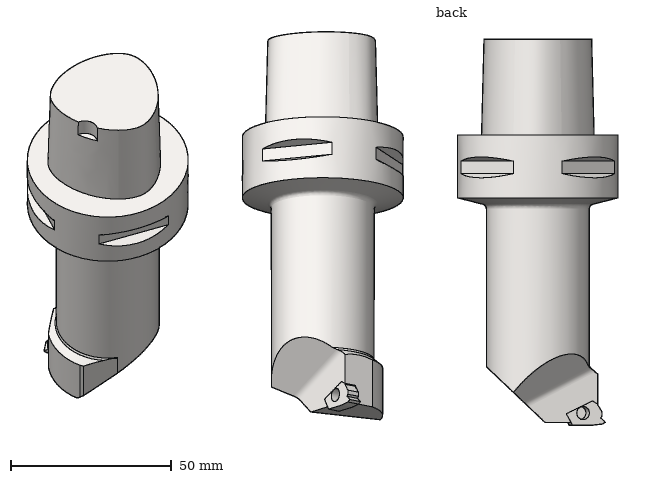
import cadquery as cq
import math

TOTAL_HEIGHT = 120.0
FLANGE_TOP = 90.2
FLANGE_BOTTOM = 70.7
FLANGE_CONE_BOTTOM = 68.4
HEAD_TOP = 18.6
RELIEF_TOP = 18.2
HEAD_BOTTOM = 0.8

FLANGE_RADIUS = 50.0 / 2
SHANK_RADIUS = 32.0 / 2
HEAD_RADIUS = 18.66
NECK_FILLET = 1.5
SHOULDER_HEIGHT = 2.6
SHOULDER_ROOT_HEIGHT = 0.7
SHOULDER_ROOT_WIDTH = 0.4

LOBE_MEAN_RADIUS = 17.5
LOBE_ECCENTRICITY = 1.14
TAPER_PER_SIDE = 1 / 40
LOBE_HALF_ANGLE = 36.0
KEY_RADIUS = 4.0
KEY_CENTER_Y = -17.8
KEY_DEPTH = 5.5

NOTCH_COUNT = 4
NOTCH_HEIGHT = 80.2
NOTCH_FLAT_RADIUS = 22.2
NOTCH_FLAT_HALF = 1.9
NOTCH_MOUTH_HALF = 3.2

HEAD_ANGLE = 15.0
FLANK_OFFSET = 17.9
RAKE_OFFSET = 5.5
RELIEF_END_X = -2.3
GULLET_AXIS_HEIGHT = 3.6
GULLET_SLOPE = 1.16
GULLET_AZIMUTH = 130.7
GULLET_FILLET = 3.0

INSERT_THICKNESS = 4.2
INSERT_HOLE_DIAMETER = 4.1
INSERT_HOLE_CENTER = (4.8, 3.8)
INSERT_OUTLINE = [
    (-2.4, 1.0),
    (-1.0, 2.3),
    (-1.3, 2.9),
    (-1.3, 4.2),
    (0.2, 6.7),
    (1.8, 7.5),
    (10.2, 3.6),
    (8.2, 0.0),
    (1.8, 0.0),
    (-1.5, 0.4),
]

CLEARANCE = 24.0


def turned_body():
    """Flange with its lower cone, blended into the plain shank."""
    profile = [
        (0, HEAD_BOTTOM),
        (SHANK_RADIUS, HEAD_BOTTOM),
        (SHANK_RADIUS, FLANGE_CONE_BOTTOM),
        (FLANGE_RADIUS, FLANGE_BOTTOM),
        (FLANGE_RADIUS, FLANGE_TOP),
        (0, FLANGE_TOP),
    ]
    body = cq.Workplane("XZ").polyline(profile).close().revolve(360, (0, 0), (0, 1))
    neck = cq.selectors.NearestToPointSelector((SHANK_RADIUS, 0, FLANGE_CONE_BOTTOM))
    return body.edges("%CIRCLE").edges(neck).fillet(NECK_FILLET)


def lobe_wire(mean_radius, height):
    """Three-lobed outline in six smooth stretches, with one lobe toward +Y."""
    def point(degrees):
        t = math.radians(degrees)
        e = LOBE_ECCENTRICITY
        along = mean_radius * math.cos(t) + 2 * e * math.cos(2 * t) - e * math.cos(4 * t)
        across = mean_radius * math.sin(t) - 2 * e * math.sin(2 * t) - e * math.sin(4 * t)
        return cq.Vector(-across, along, height)

    steps = 8
    edges = []
    for lobe_angle in (0, 120, 240):
        start = lobe_angle - LOBE_HALF_ANGLE
        middle = lobe_angle + LOBE_HALF_ANGLE
        end = start + 120
        for first, last in ((start, middle), (middle, end)):
            points = [point(first + (last - first) * i / steps) for i in range(steps + 1)]
            edges.append(cq.Edge.makeSpline(points))
    return cq.Wire.assembleEdges(edges)


def coupling():
    """Tapered polygon with a round keyway at its upper front edge."""
    top_radius = LOBE_MEAN_RADIUS - TAPER_PER_SIDE * (TOTAL_HEIGHT - FLANGE_TOP)
    base = lobe_wire(LOBE_MEAN_RADIUS, FLANGE_TOP)
    top = lobe_wire(top_radius, TOTAL_HEIGHT)
    taper = cq.Workplane(cq.Solid.makeLoft([base, top], True))
    keyway = (
        cq.Workplane("XY", origin=(0, KEY_CENTER_Y, TOTAL_HEIGHT - KEY_DEPTH))
        .circle(KEY_RADIUS)
        .extrude(KEY_DEPTH)
    )
    return taper.cut(keyway)


def gripper_notch(angle):
    """Straight notch with a flat floor and flared sides."""
    profile = [
        (NOTCH_FLAT_RADIUS, NOTCH_HEIGHT - NOTCH_FLAT_HALF),
        (NOTCH_FLAT_RADIUS, NOTCH_HEIGHT + NOTCH_FLAT_HALF),
        (FLANGE_RADIUS, NOTCH_HEIGHT + NOTCH_MOUTH_HALF),
        (FLANGE_RADIUS, NOTCH_HEIGHT - NOTCH_MOUTH_HALF),
    ]
    notch = cq.Workplane("XZ").polyline(profile).close().extrude(FLANGE_RADIUS, both=True)
    return notch.rotate((0, 0, 0), (0, 0, 1), angle)


def head_flare():
    """Wider sector of the head, with a two-step conical shoulder and a flat flank."""
    profile = [
        (0, HEAD_BOTTOM),
        (HEAD_RADIUS, HEAD_BOTTOM),
        (HEAD_RADIUS, HEAD_TOP - SHOULDER_HEIGHT),
        (SHANK_RADIUS + SHOULDER_ROOT_WIDTH, HEAD_TOP - SHOULDER_ROOT_HEIGHT),
        (SHANK_RADIUS, HEAD_TOP),
        (0, HEAD_TOP),
    ]
    disc = cq.Workplane("XZ").polyline(profile).close().revolve(360, (0, 0), (0, 1))
    sector = [
        (0, 0),
        (-CLEARANCE, 9.6),
        (-CLEARANCE, -CLEARANCE),
        (-1.3, -CLEARANCE),
        (-1.3, -18.6),
        (-0.1, -18.6),
        (1.9, -17.5),
        (9.1, -13.3),
    ]
    kept = cq.Workplane("XY").polyline(sector).close().extrude(HEAD_TOP)
    flank_side = (
        cq.Workplane("XY")
        .box(CLEARANCE, 2 * CLEARANCE, CLEARANCE, centered=(False, True, False))
        .translate((-FLANK_OFFSET - CLEARANCE, 0, 0))
        .rotate((0, 0, 0), (0, 0, 1), HEAD_ANGLE)
    )
    return disc.intersect(kept).cut(flank_side)


def back_relief():
    """Sloped cut under the +X side of the head."""
    outline = [
        (RELIEF_END_X, HEAD_BOTTOM),
        (SHANK_RADIUS, RELIEF_TOP),
        (SHANK_RADIUS, HEAD_BOTTOM),
    ]
    return cq.Workplane("XZ").polyline(outline).close().extrude(CLEARANCE, both=True)


def chip_gullet():
    """Space under a sloped plane, ending at the upright rake face."""
    reach = 3 * CLEARANCE
    azimuth = math.radians(GULLET_AZIMUTH)
    turn = math.radians(HEAD_ANGLE)
    normal = cq.Vector(-GULLET_SLOPE * math.cos(azimuth), -GULLET_SLOPE * math.sin(azimuth), 1)
    rake_normal = cq.Vector(-math.sin(turn), math.cos(turn), 0)
    corner_direction = normal.cross(rake_normal)
    slope = cq.Plane((0, 0, GULLET_AXIS_HEIGHT), corner_direction, normal)
    below = cq.Workplane(slope).rect(2 * reach, 2 * reach).extrude(-reach)
    beyond_rake = (
        cq.Workplane("XY")
        .box(2 * reach, reach, 2 * reach, centered=(True, False, True))
        .translate((0, RAKE_OFFSET, 0))
        .rotate((0, 0, 0), (0, 0, 1), HEAD_ANGLE)
    )
    foot = rake_normal * RAKE_OFFSET
    corner_height = GULLET_AXIS_HEIGHT - normal.x * foot.x - normal.y * foot.y
    corner = (foot.x, foot.y, corner_height)
    inner_corner = cq.selectors.ParallelDirSelector(corner_direction)
    return (
        below.intersect(beyond_rake)
        .edges(inner_corner)
        .edges(cq.selectors.NearestToPointSelector(corner))
        .fillet(GULLET_FILLET)
    )


def insert_blank():
    """Insert without its hole, its face flush with the rake face."""
    return (
        cq.Workplane("XZ")
        .polyline(INSERT_OUTLINE)
        .close()
        .extrude(INSERT_THICKNESS)
        .translate((-FLANK_OFFSET, RAKE_OFFSET, 0))
        .rotate((0, 0, 0), (0, 0, 1), HEAD_ANGLE)
    )


def make_insert():
    hole = (
        cq.Workplane("XZ")
        .center(*INSERT_HOLE_CENTER)
        .circle(INSERT_HOLE_DIAMETER / 2)
        .extrude(INSERT_THICKNESS)
        .translate((-FLANK_OFFSET, RAKE_OFFSET, 0))
        .rotate((0, 0, 0), (0, 0, 1), HEAD_ANGLE)
    )
    return insert_blank().cut(hole)


def make_holder():
    holder = turned_body().union(coupling()).union(head_flare())
    for i in range(NOTCH_COUNT):
        holder = holder.cut(gripper_notch(45 + i * 360 / NOTCH_COUNT))
    return holder.cut(back_relief()).cut(chip_gullet()).cut(insert_blank())


holder = make_holder()
insert = make_insert()
result = cq.Compound.makeCompound([holder.solids().val(), insert.solids().val()])